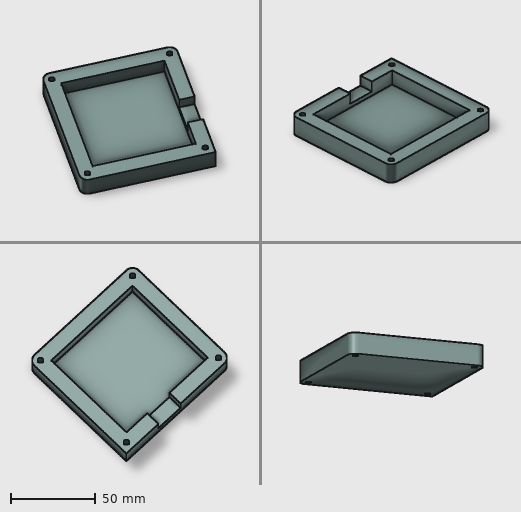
import cadquery as cq

length = 86.7
width = 82.9
height = 13.0
corner_radius = 5.0

wall = 9.5
floor_thickness = 3.0

notch_width = 18.5
notch_left = 41.4
notch_depth = 7.0

hole_diameter = 3.4
hole_inset = 5.0


def make_block():
    """Block with three rounded vertical edges; the +X +Y corner stays square."""
    block = cq.Workplane("XY").box(length, width, height, centered=(True, True, False))
    rounded_edges = block.edges("|Z and (<X or <Y)")
    return rounded_edges.fillet(corner_radius)


def make_pocket():
    return (
        cq.Workplane("XY")
        .workplane(offset=floor_thickness)
        .rect(length - 2 * wall, width - 2 * wall)
        .extrude(height - floor_thickness)
    )


def make_notch():
    return cq.Workplane("XY").box(notch_width, wall, notch_depth, centered=False).translate(
        (notch_left - length / 2, width / 2 - wall, height - notch_depth)
    )


def make_screw_holes():
    return (
        cq.Workplane("XY")
        .rect(length - 2 * hole_inset, width - 2 * hole_inset, forConstruction=True)
        .vertices()
        .circle(hole_diameter / 2)
        .extrude(height)
    )


result = make_block().cut(make_pocket()).cut(make_notch()).cut(make_screw_holes())